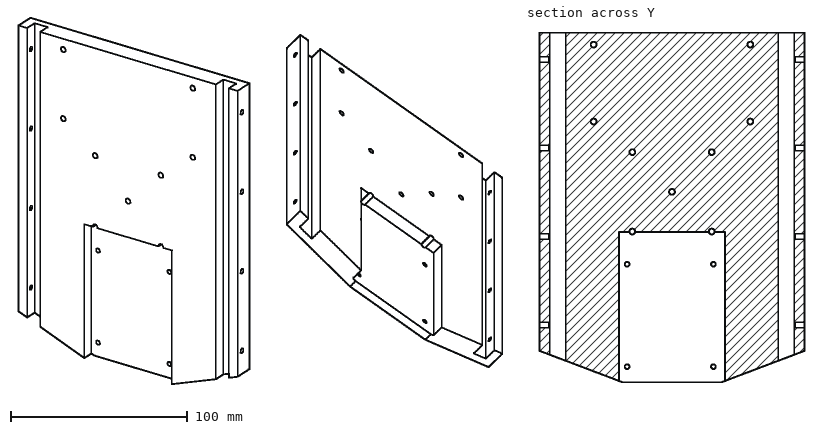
import cadquery as cq
import math

width = 150.0
thickness = 12.0
height = 197.8
bottom_edge_width = 55.8
taper_height = 17.8

side_wall = 6.0
slot_width = 8.9
slot_depth = 7.5

pocket_width = 59.7
pocket_height = 85.0
pocket_depth = 7.1

mount_hole_diameter = 3.2
upper_spacing_x = 88.6
upper_spacing_z = 43.5
upper_top_margin = 6.7
cross_spacing = 44.9
cross_center_z = 107.8

pocket_hole_diameter = 2.5
pocket_hole_center_x = -1.0
pocket_hole_spacing_x = 48.9
pocket_hole_spacing_z = 58.0
pocket_hole_bottom_margin = 8.9

side_hole_diameter = 2.8
side_hole_depth = 5.3
drill_point_angle = 118
side_hole_count = 4
side_hole_pitch = 50.0
side_hole_top_margin = 15.2
side_hole_y = 4.5


def box_from_front(left, bottom, box_width, box_height, depth):
    """Box reaching back from the front face of the plate."""
    return cq.Workplane("XY").box(box_width, depth, box_height, centered=False).translate((left, 0, bottom))


def drill_pattern(center_x, center_z, spacing_x, spacing_z, diameter):
    """Four through cylinders on a rectangle around the given centre."""
    pattern = cq.Workplane("XZ", origin=(center_x, 0, center_z)).rect(spacing_x, spacing_z, forConstruction=True)
    return pattern.vertices().circle(diameter / 2).extrude(-thickness)


def drilled_side_holes():
    """Row of drill-shaped cutters entering the wall on the -X side."""
    radius = side_hole_diameter / 2
    tip_length = radius / math.tan(math.radians(drill_point_angle / 2))
    inward = cq.Vector(1, 0, 0)
    cutters = cq.Workplane("XY")
    for index in range(side_hole_count):
        hole_z = height - side_hole_top_margin - index * side_hole_pitch
        entry = cq.Vector(-width / 2, side_hole_y, hole_z)
        shoulder = entry + inward * side_hole_depth
        cutters = cutters.add(cq.Solid.makeCylinder(radius, side_hole_depth, entry, inward))
        cutters = cutters.add(cq.Solid.makeCone(radius, 0, tip_length, shoulder, inward))
    return cutters.combine()


half_width = width / 2
half_bottom = bottom_edge_width / 2
outline = [
    (-half_bottom, 0),
    (half_bottom, 0),
    (half_width, taper_height),
    (half_width, height),
    (-half_width, height),
    (-half_width, taper_height),
]
result = cq.Workplane("XZ").polyline(outline).close().extrude(-thickness)

slot_outer_x = half_width - side_wall
for slot_left in (-slot_outer_x, slot_outer_x - slot_width):
    result = result.cut(box_from_front(slot_left, 0, slot_width, height, slot_depth))

result = result.cut(box_from_front(-pocket_width / 2, 0, pocket_width, pocket_height, pocket_depth))

upper_center_z = height - upper_top_margin - upper_spacing_z / 2
pocket_hole_center_z = pocket_hole_bottom_margin + pocket_hole_spacing_z / 2
center_hole = cq.Workplane("XZ", origin=(0, 0, cross_center_z)).circle(mount_hole_diameter / 2).extrude(-thickness)
pocket_holes = drill_pattern(
    pocket_hole_center_x,
    pocket_hole_center_z,
    pocket_hole_spacing_x,
    pocket_hole_spacing_z,
    pocket_hole_diameter,
)
result = (
    result.cut(drill_pattern(0, upper_center_z, upper_spacing_x, upper_spacing_z, mount_hole_diameter))
    .cut(drill_pattern(0, cross_center_z, cross_spacing, cross_spacing, mount_hole_diameter))
    .cut(center_hole)
    .cut(pocket_holes)
)

result = result.cut(drilled_side_holes()).cut(drilled_side_holes().mirror("YZ"))